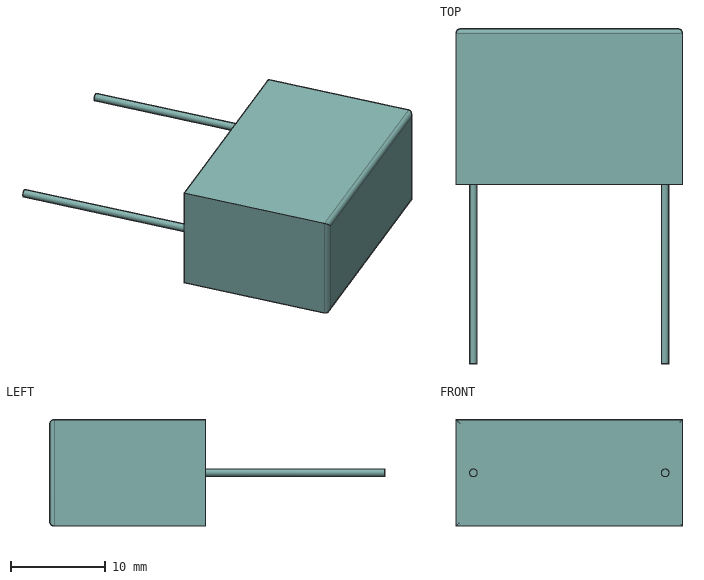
import cadquery as cq

case_width = 24.0
case_height = 11.3
overall_depth = 35.5

case_depth = 16.5
back_fillet = 0.5

lead_diameter = 0.8
lead_spacing = 20.3
lead_length = overall_depth - case_depth


def make_case():
    """Rectangular case with its lead face on Y = 0, rounded around its back face."""
    block = cq.Workplane("XY").box(case_width, case_depth, case_height, centered=(True, False, True))
    return block.faces(">Y").edges().fillet(back_fillet)


def make_lead(x):
    """Straight round lead that runs from the lead face of the case toward -Y."""
    return cq.Workplane("XZ").center(x, 0).circle(lead_diameter / 2).extrude(lead_length)


case = make_case()
leads = [make_lead(side * lead_spacing / 2) for side in (-1, 1)]

result = cq.Compound.makeCompound([case.val(), *[lead.val() for lead in leads]])